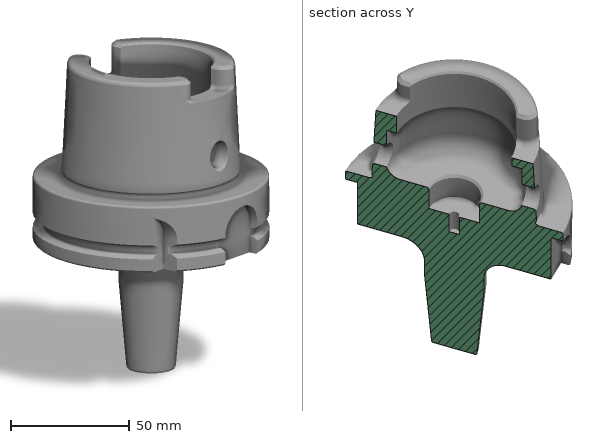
import cadquery as cq
import math


SHANK_HEIGHT = 50.0
SHANK_BASE_RADIUS = 37.95
TAPER_SLOPE = 0.05
SHANK_TOP_ROUND = 2.0

RELIEF_TOP = 2.3
RELIEF_STEP = 0.6
RELIEF_RADIUS = 37.3
RELIEF_OUTER_RADIUS = 39.3
RELIEF_CURVE = 2.4

FLANGE_RADIUS = 50.0
FLANGE_BOTTOM = -29.0
FLANGE_BOTTOM_CHAMFER = 0.8
FLANGE_TOP_ROUND = 1.0
GROOVE_CENTER = -20.0
GROOVE_RADIUS = 46.0
GROOVE_LAND_RADIUS = 47.7
GROOVE_HALF_WIDTH = 1.75
GROOVE_FLANK_ANGLE = 30.0

NOSE_BOTTOM = -85.0
NECK_RADIUS = 13.75
NECK_FILLET = 10.0
NOSE_TAPER_TOP = -46.8
NOSE_TIP_RADIUS = 10.5
NOSE_TIP_CHAMFER = 0.8

LIP_RADIUS = 26.3
LIP_CHAMFER = 0.8
LIP_BOTTOM = 30.0
CHAMBER_RADIUS = 31.0
CHAMBER_FLOOR = 4.0
CHAMBER_FILLET = 6.2
TUBE_HOLE_RADIUS = 11.4
TUBE_HOLE_CHAMFER = 1.0
TUBE_HOLE_DEPTH = 12.0
COOLANT_HOLE_RADIUS = 2.2
COOLANT_HOLE_DEPTH = 10.0

DRIVE_SLOT_HALF_WIDTH = 10.0
DRIVE_SLOT_FLOORS = {-1: 35.0, 1: 40.0}
EAR_END_X = 32.0
EAR_CORNER_RADIUS = 5.0
EAR_WRAP_ANGLE = 26.0
EAR_FLANK_LENGTH = 12.0
EAR_CHAMFER = 1.5
DRIVE_SLOT_FILLET = 2.0

RADIAL_HOLE_RADIUS = 6.0
RADIAL_HOLE_HEIGHT = 15.0
COUNTERSINK_START = 36.6

KEYWAY_HALF_WIDTH = 10.85
KEYWAY_TOP = -5.0
KEYWAY_FLOOR_X = 44.5
NOTCH_FLOOR_X = 31.5
NOTCH_WALL_Y = -31.3
NOTCH_RADIUS = 10.0
NOTCH_CENTER_HEIGHT = -14.6
FLAT_TOP = -4.0
FLAT_BOTTOM = -12.0
FLAT_DISTANCE = 47.25
FLAT_ANGLE = 135.0

OVERCUT = 5.0
ARC_MID_OFFSET = 1 - math.sqrt(0.5)


def shank_radius(height):
    return SHANK_BASE_RADIUS - TAPER_SLOPE * height


def relief_point(radius):
    """Point at the given radius on the relief curve, which is tangent to the flange face."""
    run = RELIEF_OUTER_RADIUS - radius
    return (radius, RELIEF_CURVE - math.sqrt(RELIEF_CURVE**2 - run**2))


def revolve_profile(profile):
    return profile.close().revolve(360, (0, 0, 0), (0, 1, 0))


def make_body():
    flank_height = (FLANGE_RADIUS - GROOVE_LAND_RADIUS) * math.tan(math.radians(GROOVE_FLANK_ANGLE))
    groove_top = GROOVE_CENTER + GROOVE_HALF_WIDTH
    groove_bottom = GROOVE_CENTER - GROOVE_HALF_WIDTH
    fillet_mid = NECK_FILLET * ARC_MID_OFFSET
    round_mid = FLANGE_TOP_ROUND * ARC_MID_OFFSET
    profile = (
        cq.Workplane("XZ")
        .moveTo(0, NOSE_BOTTOM)
        .lineTo(NOSE_TIP_RADIUS - NOSE_TIP_CHAMFER / 2, NOSE_BOTTOM)
        .lineTo(NOSE_TIP_RADIUS, NOSE_BOTTOM + NOSE_TIP_CHAMFER)
        .lineTo(NECK_RADIUS, NOSE_TAPER_TOP)
        .lineTo(NECK_RADIUS, FLANGE_BOTTOM - NECK_FILLET)
        .threePointArc(
            (NECK_RADIUS + fillet_mid, FLANGE_BOTTOM - fillet_mid),
            (NECK_RADIUS + NECK_FILLET, FLANGE_BOTTOM),
        )
        .lineTo(FLANGE_RADIUS - FLANGE_BOTTOM_CHAMFER, FLANGE_BOTTOM)
        .lineTo(FLANGE_RADIUS, FLANGE_BOTTOM + FLANGE_BOTTOM_CHAMFER)
        .lineTo(FLANGE_RADIUS, groove_bottom - flank_height)
        .lineTo(GROOVE_LAND_RADIUS, groove_bottom)
        .lineTo(GROOVE_RADIUS, groove_bottom)
        .lineTo(GROOVE_RADIUS, groove_top)
        .lineTo(GROOVE_LAND_RADIUS, groove_top)
        .lineTo(FLANGE_RADIUS, groove_top + flank_height)
        .lineTo(FLANGE_RADIUS, -FLANGE_TOP_ROUND)
        .threePointArc(
            (FLANGE_RADIUS - round_mid, -round_mid),
            (FLANGE_RADIUS - FLANGE_TOP_ROUND, 0),
        )
        .lineTo(RELIEF_OUTER_RADIUS, 0)
        .threePointArc(
            relief_point((RELIEF_RADIUS + RELIEF_OUTER_RADIUS) / 2),
            relief_point(RELIEF_RADIUS),
        )
        .lineTo(RELIEF_RADIUS, RELIEF_TOP - RELIEF_STEP)
        .lineTo(shank_radius(RELIEF_TOP), RELIEF_TOP)
        .lineTo(shank_radius(SHANK_HEIGHT), SHANK_HEIGHT)
        .lineTo(0, SHANK_HEIGHT)
    )
    return revolve_profile(profile).faces(">Z").edges().fillet(SHANK_TOP_ROUND)


def make_bore():
    fillet_mid = CHAMBER_FILLET * ARC_MID_OFFSET
    tube_hole_bottom = CHAMBER_FLOOR - TUBE_HOLE_DEPTH
    coolant_hole_bottom = tube_hole_bottom - COOLANT_HOLE_DEPTH
    profile = (
        cq.Workplane("XZ")
        .moveTo(0, coolant_hole_bottom)
        .lineTo(COOLANT_HOLE_RADIUS, coolant_hole_bottom)
        .lineTo(COOLANT_HOLE_RADIUS, tube_hole_bottom)
        .lineTo(TUBE_HOLE_RADIUS, tube_hole_bottom)
        .lineTo(TUBE_HOLE_RADIUS, CHAMBER_FLOOR - TUBE_HOLE_CHAMFER)
        .lineTo(TUBE_HOLE_RADIUS + TUBE_HOLE_CHAMFER, CHAMBER_FLOOR)
        .lineTo(CHAMBER_RADIUS - CHAMBER_FILLET, CHAMBER_FLOOR)
        .threePointArc(
            (CHAMBER_RADIUS - fillet_mid, CHAMBER_FLOOR + fillet_mid),
            (CHAMBER_RADIUS, CHAMBER_FLOOR + CHAMBER_FILLET),
        )
        .lineTo(CHAMBER_RADIUS, LIP_BOTTOM)
        .lineTo(LIP_RADIUS, LIP_BOTTOM)
        .lineTo(LIP_RADIUS, SHANK_HEIGHT - LIP_CHAMFER)
        .lineTo(LIP_RADIUS + LIP_CHAMFER, SHANK_HEIGHT)
        .lineTo(0, SHANK_HEIGHT)
    )
    return revolve_profile(profile)


def ear_corner_point(radius, angle, flank=0.0):
    """Point on the +Y ear corner; the angle runs from the slot wall (-90) past the ear end (0).

    A flank moves the point along the tangent of the corner."""
    direction = math.radians(angle)
    center_x = EAR_END_X - EAR_CORNER_RADIUS
    center_y = DRIVE_SLOT_HALF_WIDTH + EAR_CORNER_RADIUS
    return (
        center_x + radius * math.cos(direction) - flank * math.sin(direction),
        center_y + radius * math.sin(direction) + flank * math.cos(direction),
    )


def slot_outline(height, growth=0.0):
    """Plan of the +X drive slot: a channel that flares round the ear corners, widened by growth."""
    radius = EAR_CORNER_RADIUS - growth
    wall_end = ear_corner_point(radius, -90)
    corner_mid = ear_corner_point(radius, (EAR_WRAP_ANGLE - 90) / 2)
    corner_end = ear_corner_point(radius, EAR_WRAP_ANGLE)
    flank_end = ear_corner_point(radius, EAR_WRAP_ANGLE, EAR_FLANK_LENGTH)
    half_width = wall_end[1]

    def mirrored(point):
        return (point[0], -point[1])

    return (
        cq.Workplane("XY", origin=(0, 0, height))
        .moveTo(0, -half_width)
        .lineTo(*mirrored(wall_end))
        .threePointArc(mirrored(corner_mid), mirrored(corner_end))
        .lineTo(*mirrored(flank_end))
        .lineTo(FLANGE_RADIUS, -flank_end[1])
        .lineTo(FLANGE_RADIUS, flank_end[1])
        .lineTo(*flank_end)
        .lineTo(*corner_end)
        .threePointArc(corner_mid, wall_end)
        .lineTo(0, half_width)
        .close()
    )


def make_drive_slot(side):
    floor = DRIVE_SLOT_FLOORS[side]
    channel = slot_outline(floor).extrude(SHANK_HEIGHT - floor)
    channel = channel.faces("<Z").edges().fillet(DRIVE_SLOT_FILLET)
    lower = slot_outline(SHANK_HEIGHT - EAR_CHAMFER).wires().val()
    upper = slot_outline(SHANK_HEIGHT, EAR_CHAMFER).wires().val()
    bevel = cq.Solid.makeLoft([lower, upper], True)
    slot = channel.union(cq.Workplane(bevel))
    return slot if side > 0 else slot.rotate((0, 0, 0), (0, 0, 1), 180)


def make_radial_hole():
    length = 2 * FLANGE_RADIUS
    hole = cq.Workplane("YZ", origin=(-length / 2, 0, RADIAL_HOLE_HEIGHT))
    hole = hole.circle(RADIAL_HOLE_RADIUS).extrude(length)
    for side in (-1, 1):
        cone = cq.Solid.makeCone(
            RADIAL_HOLE_RADIUS,
            RADIAL_HOLE_RADIUS + OVERCUT,
            OVERCUT,
            cq.Vector(side * COUNTERSINK_START, 0, RADIAL_HOLE_HEIGHT),
            cq.Vector(side, 0, 0),
        )
        hole = hole.union(cq.Workplane(cone))
    return hole


def make_round_top_slot(start_x, center_y, center_z, radius):
    """Slot cut along +X from start_x outward, round at its top and open downward."""
    depth = FLANGE_RADIUS + OVERCUT - start_x
    bottom = FLANGE_BOTTOM - OVERCUT
    return (
        cq.Workplane("YZ", origin=(start_x, 0, 0))
        .moveTo(center_y - radius, bottom)
        .lineTo(center_y - radius, center_z)
        .threePointArc((center_y, center_z + radius), (center_y + radius, center_z))
        .lineTo(center_y + radius, bottom)
        .close()
        .extrude(depth)
    )


def make_flange_cuts():
    keyway = make_round_top_slot(KEYWAY_FLOOR_X, 0, KEYWAY_TOP - KEYWAY_HALF_WIDTH, KEYWAY_HALF_WIDTH)
    opposite_keyway = keyway.rotate((0, 0, 0), (0, 0, 1), 180)
    notch = make_round_top_slot(
        NOTCH_FLOOR_X, NOTCH_WALL_Y - NOTCH_RADIUS, NOTCH_CENTER_HEIGHT, NOTCH_RADIUS
    )
    flat = (
        cq.Workplane("XY", origin=(0, 0, FLAT_BOTTOM))
        .rect(OVERCUT, 2 * FLANGE_RADIUS)
        .extrude(FLAT_TOP - FLAT_BOTTOM)
        .translate((FLAT_DISTANCE + OVERCUT / 2, 0, 0))
        .rotate((0, 0, 0), (0, 0, 1), FLAT_ANGLE)
    )
    return [keyway, opposite_keyway, notch, flat]


result = make_body().cut(make_bore())
for slot_side in DRIVE_SLOT_FLOORS:
    result = result.cut(make_drive_slot(slot_side))
result = result.cut(make_radial_hole())
for flange_cut in make_flange_cuts():
    result = result.cut(flange_cut)